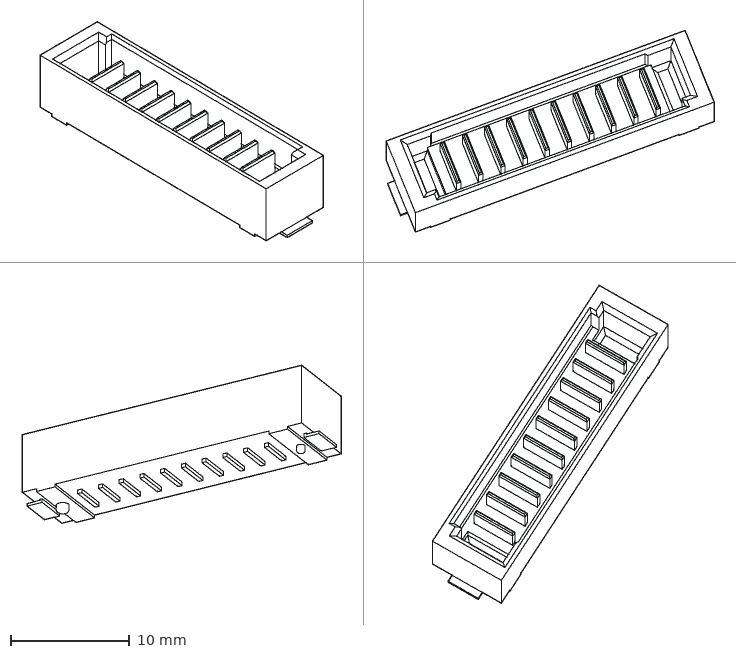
import cadquery as cq
import math


body_length = 27.0
body_width = 6.8
body_height = 5.41

cavity_length = 23.8
cavity_back = 1.97
cavity_front = -2.6
cavity_depth = 3.35
rim_chamfer = 0.45

back_recess_length = 22.22
back_recess_y = 2.74
back_recess_chamfer = 0.28

front_recess_length = 19.63
front_recess_depth = 0.17

floor_slope = 0.17

pocket_length = 1.8
pocket_depth = 1.35
pocket_taper_depth = 0.45

contact_count = 10
contact_pitch = 2.0
contact_thickness = 0.4
blade_width = 3.8
blade_recess = 0.95
blade_bevel = 0.1
blade_bevel_height = 0.23
pin_width = 3.0

foot_length = 1.8
foot_height = 0.25
foot_x = 11.22
peg_x = 11.5
small_peg_diameter = 0.73
large_peg_diameter = 1.1
peg_bottom = -0.87
peg_fillet = 0.25
overall_length = 28.2
tab_length = 1.47
tab_width = 3.0
tab_thickness = 0.25
tab_gap = 0.08

floor_z = body_height - cavity_depth
tab_bottom = -(tab_gap + tab_thickness)
embed = 0.28


def block(x_range, y_range, z_range):
    """Axis-aligned box from its limits along X, Y and Z."""
    origin = (x_range[0], y_range[0], z_range[0])
    size = [high - low for low, high in (x_range, y_range, z_range)]
    return cq.Workplane("XY").box(*size, centered=False).translate(origin)


def flared_block(x_range, y_range, bottom, top, flare):
    """Box-shaped cut whose upper part opens outwards at 45 degrees."""
    straight = block(x_range, y_range, (bottom, top))
    center_x = sum(x_range) / 2
    center_y = sum(y_range) / 2
    lead_in = (
        cq.Workplane("XY", origin=(center_x, center_y, top))
        .rect(x_range[1] - x_range[0] + 2 * flare, y_range[1] - y_range[0] + 2 * flare)
        .extrude(-flare, taper=45)
    )
    return straight.union(lead_in)


def floor_wedge(wall_y, toward, length):
    """45-degree strip along the foot of a long wall; toward is +1 or -1 in Y."""
    return (
        cq.Workplane("YZ", origin=(-length / 2, 0, 0))
        .moveTo(wall_y, floor_z)
        .lineTo(wall_y + toward * floor_slope, floor_z)
        .lineTo(wall_y, floor_z + floor_slope)
        .close()
        .extrude(length)
    )


def cavity():
    half = cavity_length / 2
    main = flared_block((-half, half), (cavity_front, cavity_back), floor_z, body_height, rim_chamfer)

    back_half = back_recess_length / 2
    back = flared_block(
        (-back_half, back_half), (0, back_recess_y), floor_z, body_height, back_recess_chamfer
    ).cut(floor_wedge(back_recess_y, -1, back_recess_length))

    front_half = front_recess_length / 2
    front_y = cavity_front - front_recess_depth
    recess_top = body_height - rim_chamfer + front_recess_depth
    front = (
        cq.Workplane("XY", origin=(0, 0, floor_z))
        .polyline([
            (-front_half, cavity_front),
            (-front_half + front_recess_depth, front_y),
            (front_half - front_recess_depth, front_y),
            (front_half, cavity_front),
        ])
        .close()
        .extrude(recess_top - floor_z)
        .cut(floor_wedge(front_y, 1, front_recess_length))
    )
    return main.union(back).union(front)


def floor_pocket(side):
    center_x = side * (cavity_length - pocket_length) / 2
    center_y = (cavity_front + cavity_back) / 2
    pocket_width = cavity_back - cavity_front
    straight_depth = pocket_depth - pocket_taper_depth
    straight = (
        cq.Workplane("XY", origin=(center_x, center_y, floor_z))
        .rect(pocket_length, pocket_width)
        .extrude(-straight_depth)
    )
    tapered = (
        cq.Workplane("XY", origin=(center_x, center_y, floor_z - straight_depth))
        .rect(pocket_length, pocket_width)
        .extrude(-pocket_taper_depth, taper=45)
    )
    return straight.union(tapered)


def contact(x):
    """Upright blade with a bevelled tip, and its solder pin under the housing."""
    half = contact_thickness / 2
    tip_z = body_height - blade_recess
    shoulder_z = tip_z - blade_bevel_height
    bevel_angle = math.degrees(math.atan(blade_bevel / blade_bevel_height))
    blade = block((x - half, x + half), (-blade_width / 2, blade_width / 2), (floor_z - embed, shoulder_z))
    tip = (
        cq.Workplane("XY", origin=(x, 0, shoulder_z))
        .rect(contact_thickness, blade_width)
        .extrude(blade_bevel_height, taper=bevel_angle)
    )
    pin = block((x - half, x + half), (-pin_width / 2, pin_width / 2), (tab_bottom, embed))
    return blade.union(tip).union(pin)


def foot(side):
    center_x = side * foot_x
    return block(
        (center_x - foot_length / 2, center_x + foot_length / 2),
        (-body_width / 2, body_width / 2),
        (-foot_height, 0),
    )


def peg(x, diameter):
    return (
        cq.Workplane("XY", origin=(x, 0, peg_bottom))
        .circle(diameter / 2)
        .extrude(-peg_bottom)
        .faces("<Z")
        .edges()
        .fillet(peg_fillet)
    )


def right_solder_tab():
    """Flat tab with an upright leg at its inner end that enters the housing."""
    outer_x = overall_length / 2
    inner_x = outer_x - tab_length
    y_range = (-tab_width / 2, tab_width / 2)
    flat = block((inner_x, outer_x), y_range, (tab_bottom, -tab_gap))
    leg = block((inner_x, inner_x + tab_thickness), y_range, (tab_bottom, embed))
    return flat.union(leg)


housing = block(
    (-body_length / 2, body_length / 2),
    (-body_width / 2, body_width / 2),
    (0, body_height),
)
result = housing.cut(cavity())

for side in (-1, 1):
    result = result.cut(floor_pocket(side)).union(foot(side))

result = result.union(peg(-peg_x, small_peg_diameter))
result = result.union(peg(peg_x, large_peg_diameter))

right_tab = right_solder_tab()
result = result.union(right_tab).union(right_tab.mirror("YZ"))

for index in range(contact_count):
    result = result.union(contact((index - (contact_count - 1) / 2) * contact_pitch))